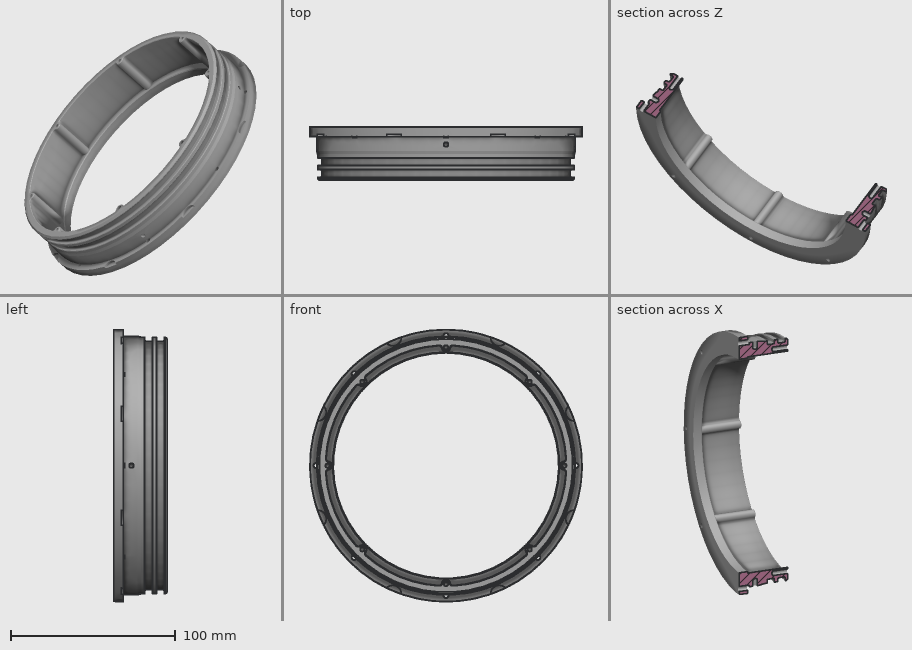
import cadquery as cq
import math


flange_radius = 82.5
ring_depth = 32.5
flange_depth = 6.0
back_y = ring_depth / 2

body_radius = 78.4
seal_radius = 77.9
taper_start_depth = 14.5
taper_end_depth = 16.5
rim_chamfer = 1.2

groove_floor_radius = 75.4
rib_middle_depth = 24.8
rib_width = 2.6
groove_width = 4.5
groove_edge_chamfer = 0.3
groove_floor_fillet = 0.5

lip_radius = 68.3
bore_radius = 72.8
lip_chamfer = 0.5
rim_bore_chamfer = 0.3

feature_count = 8
angle_step = 360 / feature_count
boss_radius = 2.6
boss_center_radius = 71.8
boss_root_fillet = 1.6
boss_root_radius = 74.2
screw_hole_diameter = 2.6
screw_hole_depth = 9.9

flange_hole_diameter = 3.0
flange_hole_center_radius = 78.7
flange_hole_depth = 6.6
scallop_radius = 5.3
scallop_center_radius = 84.3
scallop_depth = 1.5

radial_hole_count = 4
radial_hole_diameter = 2.8
radial_hole_y = back_y - 10.7
radial_hole_length = 4.1

drill_half_angle = math.radians(59)


def revolve_about_y(points):
    """Revolve (radius, depth) points about the Y axis."""
    outline = [(radius, back_y - depth) for radius, depth in points]
    return cq.Workplane("ZY").polyline(outline).close().revolve(360, (0, 0, 0), (0, 1, 0))


def rod(radius, start_depth, length, center_radius):
    """Rod along Y, on the +X side, running from start_depth toward -Y."""
    start = cq.Vector(center_radius, back_y - start_depth, 0)
    return cq.Workplane(cq.Solid.makeCylinder(radius, length, start, cq.Vector(0, -1, 0)))


def drilled_hole(diameter, length, mouth, direction):
    """Blind hole with a conical drill point beyond its full-diameter length."""
    radius = diameter / 2
    mouth = cq.Vector(*mouth)
    direction = cq.Vector(*direction)
    shaft = cq.Solid.makeCylinder(radius, length, mouth, direction)
    point_length = radius / math.tan(drill_half_angle)
    point = cq.Solid.makeCone(radius, 0, point_length, mouth + direction * length, direction)
    return cq.Workplane(shaft).union(cq.Workplane(point))


def around(shape, count, first_angle=0.0):
    """Copies of a shape spread evenly round the Y axis."""
    step = 360 / count
    return [shape.rotate((0, 0, 0), (0, 1, 0), first_angle + index * step) for index in range(count)]


def make_shell():
    return revolve_about_y([
        (lip_radius, 0),
        (flange_radius, 0),
        (flange_radius, flange_depth),
        (body_radius, flange_depth),
        (body_radius, taper_start_depth),
        (seal_radius, taper_end_depth),
        (seal_radius, ring_depth - rim_chamfer),
        (seal_radius - rim_chamfer, ring_depth),
        (bore_radius, ring_depth),
        (bore_radius, flange_depth),
        (lip_radius + lip_chamfer, flange_depth),
        (lip_radius, flange_depth - lip_chamfer),
    ])


def make_groove(start_depth):
    """Ring-shaped cutter for one groove: chamfered at the mouth and filleted at the floor."""
    end_depth = start_depth + groove_width
    wall_radius = seal_radius - groove_edge_chamfer
    cutter = revolve_about_y([
        (seal_radius, start_depth - groove_edge_chamfer),
        (wall_radius, start_depth),
        (groove_floor_radius, start_depth),
        (groove_floor_radius, end_depth),
        (wall_radius, end_depth),
        (seal_radius, end_depth + groove_edge_chamfer),
    ])
    middle_radius = (groove_floor_radius + wall_radius) / 2
    floor_edges = cutter.edges("%CIRCLE").filter(lambda edge: edge.radius() < middle_radius)
    return floor_edges.fillet(groove_floor_fillet)


def make_boss():
    """Round-nosed boss from the lip to the rim, with fillets tangent to the nose and the bore."""
    fillet_center_radius = bore_radius - boss_root_fillet
    center_distance = boss_radius + boss_root_fillet
    cos_root = (fillet_center_radius**2 + boss_center_radius**2 - center_distance**2) / (
        2 * fillet_center_radius * boss_center_radius
    )
    root_angle = math.acos(cos_root)
    root_cos = math.cos(root_angle)
    root_sin = math.sin(root_angle)
    center_x = fillet_center_radius * root_cos
    center_z = fillet_center_radius * root_sin

    nose_share = boss_radius / center_distance
    nose_x = boss_center_radius + (center_x - boss_center_radius) * nose_share
    nose_z = center_z * nose_share

    to_nose = math.atan2(nose_z - center_z, nose_x - center_x)
    middle_angle = (to_nose + root_angle) / 2
    middle_x = center_x + boss_root_fillet * math.cos(middle_angle)
    middle_z = center_z + boss_root_fillet * math.sin(middle_angle)

    bore_x = bore_radius * root_cos
    bore_z = bore_radius * root_sin
    root_x = boss_root_radius * root_cos
    root_z = boss_root_radius * root_sin
    return (
        cq.Workplane("XZ", origin=(0, back_y - flange_depth, 0))
        .moveTo(root_x, -root_z)
        .lineTo(bore_x, -bore_z)
        .threePointArc((middle_x, -middle_z), (nose_x, -nose_z))
        .threePointArc((boss_center_radius - boss_radius, 0), (nose_x, nose_z))
        .threePointArc((middle_x, middle_z), (bore_x, bore_z))
        .lineTo(root_x, root_z)
        .close()
        .extrude(ring_depth - flange_depth)
    )


def chamfer_rim_opening(body):
    """Chamfer the inner edge of the rim, round the bore and every boss."""
    rim_face = body.faces("<Y").val()
    opening = rim_face.innerWires()[0]
    return cq.Workplane(body.val().chamfer(rim_bore_chamfer, None, opening.Edges()))


ring = make_shell()
first_groove_start = rib_middle_depth - rib_width / 2 - groove_width
second_groove_start = rib_middle_depth + rib_width / 2
for groove_start in (first_groove_start, second_groove_start):
    ring = ring.cut(make_groove(groove_start))
for boss in around(make_boss(), feature_count):
    ring = ring.union(boss)
ring = chamfer_rim_opening(ring)

screw_hole = drilled_hole(
    screw_hole_diameter, screw_hole_depth, (boss_center_radius, back_y - ring_depth, 0), (0, 1, 0)
)
radial_hole = drilled_hole(
    radial_hole_diameter, radial_hole_length, (body_radius, radial_hole_y, 0), (-1, 0, 0)
)
flange_hole = rod(flange_hole_diameter / 2, 0, flange_hole_depth, flange_hole_center_radius)
scallop = rod(scallop_radius, flange_depth - scallop_depth, scallop_depth, scallop_center_radius)

cutters = around(screw_hole, feature_count)
cutters += around(radial_hole, radial_hole_count)
cutters += around(flange_hole, feature_count)
cutters += around(scallop, feature_count, angle_step / 2)
for cutter in cutters:
    ring = ring.cut(cutter)

result = ring